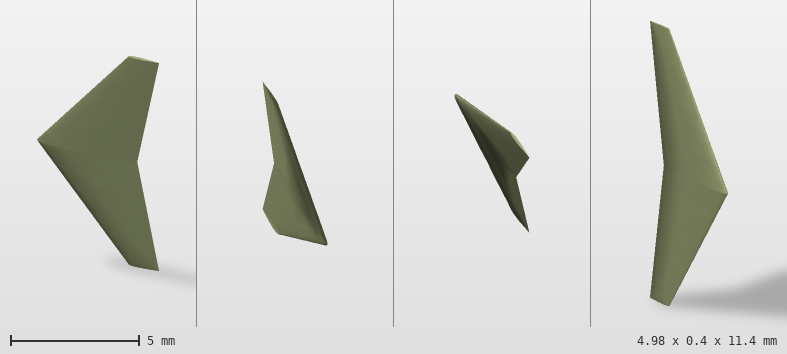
import cadquery as cq
import math

span = 11.42
root_chord = 4.09
tip_chord = 1.24
overall_length = 4.98
tip_leading_edge = overall_length - tip_chord

root_thickness = 0.4
thickness_ratio = root_thickness / root_chord
points_per_side = 50

THICKNESS_SCALE = 5
ROOT_TERM = 0.2969
POWER_TERMS = (-0.1260, -0.3516, 0.2843, -0.1036)


def half_thickness(station):
    """Half thickness at a chord station from 0 to 1, per unit chord."""
    shape = ROOT_TERM * math.sqrt(station)
    for power, coefficient in enumerate(POWER_TERMS, start=1):
        shape += coefficient * station**power
    return THICKNESS_SCALE * thickness_ratio * shape


def airfoil_side(leading_edge, chord, height, side):
    """Spline from nose to trailing edge on the +Y (side = 1) or -Y (side = -1) surface."""
    points = []
    for step in range(points_per_side + 1):
        station = (1 - math.cos(math.pi * step / points_per_side)) / 2
        x = leading_edge + chord * station
        y = side * chord * half_thickness(station)
        points.append(cq.Vector(x, y, height))
    return cq.Edge.makeSpline(points)


def airfoil(leading_edge, chord, height):
    """Closed airfoil wire at one span position, split at the nose and the trailing edge."""
    sides = [airfoil_side(leading_edge, chord, height, side) for side in (1, -1)]
    return cq.Wire.assembleEdges(sides)


def half_wing(tip_height):
    """Ruled loft from the root section to one tip."""
    root = airfoil(0, root_chord, 0)
    tip = airfoil(tip_leading_edge, tip_chord, tip_height)
    return cq.Solid.makeLoft([root, tip], True)


upper_half = cq.Workplane(obj=half_wing(span / 2))
lower_half = cq.Workplane(obj=half_wing(-span / 2))
result = upper_half.union(lower_half)